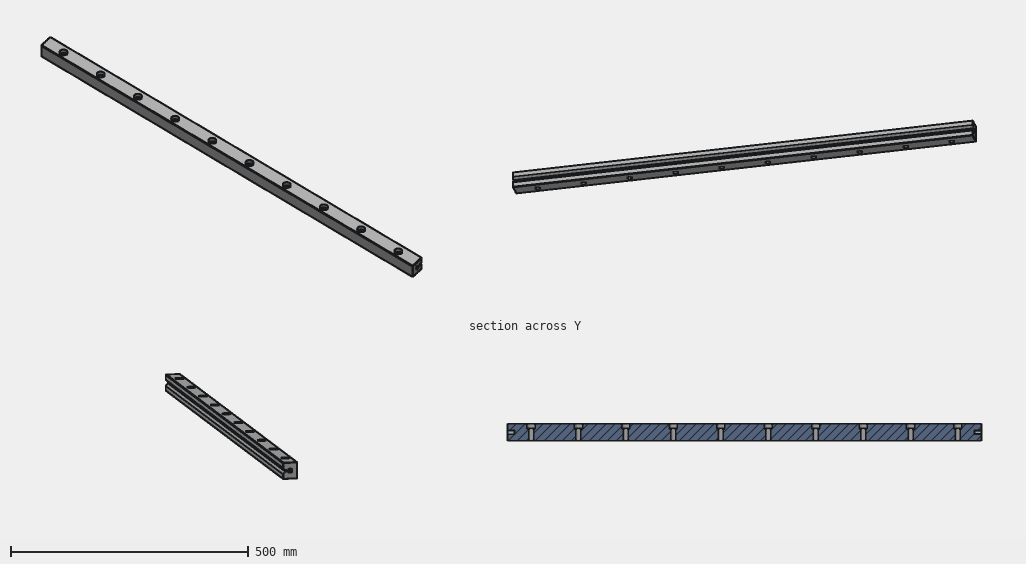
import cadquery as cq

length = 1000.0
width = 31.9
height = 36.0
edge_chamfer = 1.5
end_chamfer = 1.5

groove_opening = 13.5
relief_height = 3.0
relief_depth = 3.0
groove_depth = (groove_opening - relief_height) / 2

hole_count = 10
hole_pitch = 100.0
hole_from_mounting_face = 14.0
hole_diameter = 10.3
counterbore_diameter = 16.5
counterbore_depth = 10.0
counterbore_chamfer = 0.5

end_hole_diameter = 6.8
end_hole_depth = 15.0
end_hole_countersink_diameter = 9.5
countersink_angle = 90.0


def rail_body():
    """Rectangular bar with its long edges and end-face edges chamfered."""
    bar = cq.Workplane("XY").box(length, width, height)
    bar = bar.edges("|X").chamfer(edge_chamfer)
    return bar.faces("<X or >X").chamfer(end_chamfer)


def roller_groove():
    """V groove and relief slot running the full length of the +Y face."""
    face_y = width / 2
    root_y = face_y - groove_depth
    floor_y = root_y - relief_depth
    half_opening = groove_opening / 2
    half_relief = relief_height / 2
    return (
        cq.Workplane("YZ")
        .moveTo(face_y, half_opening)
        .lineTo(root_y, half_relief)
        .lineTo(floor_y, half_relief)
        .lineTo(floor_y, -half_relief)
        .lineTo(root_y, -half_relief)
        .lineTo(face_y, -half_opening)
        .close()
        .extrude(length / 2, both=True)
    )


def mounting_hole_points(rail):
    """Mounting hole centres on a workplane lying on the top face."""
    hole_y = hole_from_mounting_face - width / 2
    return (
        rail.faces(">Z")
        .workplane(origin=(0, hole_y, height / 2))
        .rarray(hole_pitch, 1, hole_count, 1)
    )


def drill_mounting_holes(rail):
    """Row of counterbored through holes with chamfered mouths in the top face."""
    mouth_diameter = counterbore_diameter + 2 * counterbore_chamfer
    rail = mounting_hole_points(rail).cboreHole(hole_diameter, counterbore_diameter, counterbore_depth)
    return mounting_hole_points(rail).cskHole(
        counterbore_diameter, mouth_diameter, countersink_angle, counterbore_depth
    )


def drill_end_holes(rail):
    """Blind countersunk hole at the centre of each end face."""
    for end in ("<X", ">X"):
        rail = (
            rail.faces(end)
            .workplane(origin=(0, 0, 0))
            .cskHole(end_hole_diameter, end_hole_countersink_diameter, countersink_angle, end_hole_depth)
        )
    return rail


result = rail_body().cut(roller_groove())
result = drill_mounting_holes(result)
result = drill_end_holes(result)